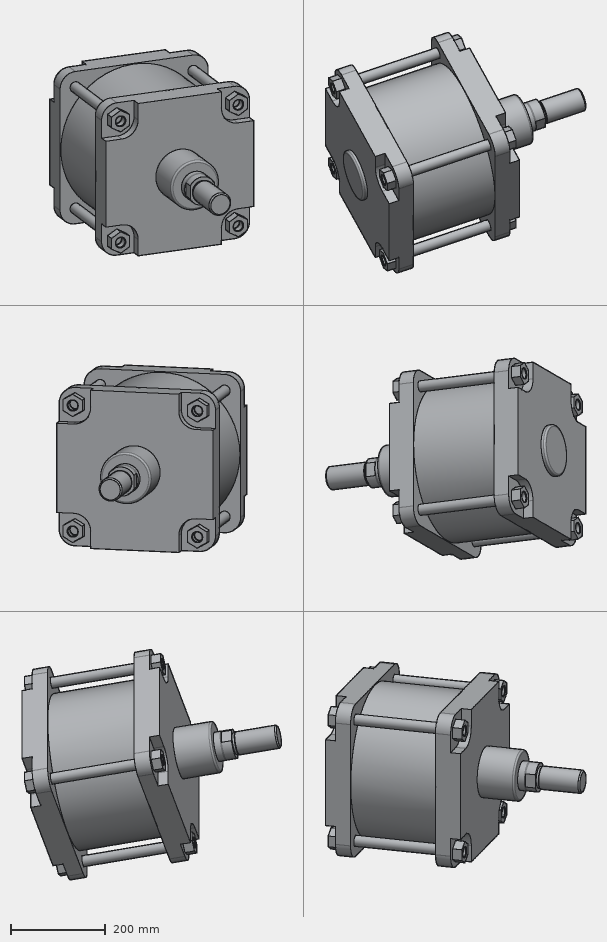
import cadquery as cq
import math


CAP_SIDE = 340.0
CAP_LENGTH = 56.0
CORNER_RADIUS = 34.5
RECESS_SIDE = 74.0
RECESS_DEPTH = 22.0
RECESS_RADIUS = 37.5
BOSS_DIAMETER = 110.0
REAR_BOSS_LENGTH = 10.0
FRONT_BOSS_LENGTH = 82.0
BOSS_ROUNDING = 4.0

BARREL_DIAMETER = 336.5
BARREL_LENGTH = 188.0

TIE_ROD_DIAMETER = 23.5
TIE_ROD_OFFSET = CAP_SIDE / 2 - CORNER_RADIUS
NUT_ACROSS_FLATS = 41.5
NUT_THICKNESS = 20.5
NUT_BORE_DIAMETER = 21.0
NUT_BORE_CHAMFER = 1.5

OVERALL_LENGTH = 526.0
ROD_DIAMETER = 63.0
ROD_LENGTH = 14.5
WRENCH_DIAMETER = 62.5
WRENCH_LENGTH = 23.5
WRENCH_TAPER_LENGTH = 1.5
WRENCH_ACROSS_FLATS = 55.0
NECK_DIAMETER = 46.5
NECK_LENGTH = 4.5
THREAD_DIAMETER = 50.0
THREAD_ROOT_CHAMFER = 1.5
THREAD_TIP_CHAMFER = 3.0

REAR_CAP_X = REAR_BOSS_LENGTH
BARREL_X = REAR_CAP_X + CAP_LENGTH
FRONT_CAP_X = BARREL_X + BARREL_LENGTH
FRONT_CAP_END_X = FRONT_CAP_X + CAP_LENGTH
ROD_X = FRONT_CAP_END_X + FRONT_BOSS_LENGTH
BODY_MIDDLE_X = BARREL_X + BARREL_LENGTH / 2

TIE_ROD_POINTS = [
    (y_side * TIE_ROD_OFFSET, z_side * TIE_ROD_OFFSET)
    for y_side in (-1, 1)
    for z_side in (-1, 1)
]


def cylinder(start_x, length, diameter):
    """Cylinder on the X axis."""
    return cq.Workplane("YZ", origin=(start_x, 0, 0)).circle(diameter / 2).extrude(length)


def make_cap(boss_length):
    """End cap with its inner face at X = 0 and its boss pointing to +X."""
    cap = (
        cq.Workplane("YZ")
        .rect(CAP_SIDE, CAP_SIDE)
        .extrude(CAP_LENGTH)
    )
    cap = cap.edges("|X").fillet(CORNER_RADIUS)

    pockets = (
        cq.Workplane("YZ", origin=(CAP_LENGTH - RECESS_DEPTH, 0, 0))
        .rect(CAP_SIDE, CAP_SIDE, forConstruction=True)
        .vertices()
        .rect(2 * RECESS_SIDE, 2 * RECESS_SIDE)
        .extrude(RECESS_DEPTH)
        .edges("|X")
        .fillet(RECESS_RADIUS)
    )
    cap = cap.cut(pockets)

    boss = cylinder(CAP_LENGTH, boss_length, BOSS_DIAMETER).faces(">X").edges().fillet(BOSS_ROUNDING)
    tie_rod_holes = (
        cq.Workplane("YZ")
        .pushPoints(TIE_ROD_POINTS)
        .circle(TIE_ROD_DIAMETER / 2)
        .extrude(CAP_LENGTH)
    )
    return cap.union(boss).cut(tie_rod_holes)


def make_rear_cap():
    return make_cap(REAR_BOSS_LENGTH).mirror("YZ").translate((BARREL_X, 0, 0))


def make_front_cap():
    return make_cap(FRONT_BOSS_LENGTH).translate((FRONT_CAP_X, 0, 0))


def make_barrel():
    return cylinder(BARREL_X, BARREL_LENGTH, BARREL_DIAMETER)


def make_nut():
    """Hexagonal nut with its seat at X = 0 and a bore narrower than the tie rod."""
    across_corners = NUT_ACROSS_FLATS / math.cos(math.radians(30))
    nut = (
        cq.Workplane("YZ")
        .transformed(rotate=(0, 0, 90))
        .polygon(6, across_corners)
        .extrude(NUT_THICKNESS)
    )
    nut = nut.cut(cylinder(0, NUT_THICKNESS, NUT_BORE_DIAMETER))
    return nut.faces(">X").edges("%CIRCLE").chamfer(NUT_BORE_CHAMFER)


def make_tie_rod(y, z):
    """Rod through both caps, with a nut seated in the recess at each end."""
    seat_distance = BARREL_LENGTH / 2 + CAP_LENGTH - RECESS_DEPTH
    rod = cylinder(-seat_distance, 2 * seat_distance, TIE_ROD_DIAMETER)
    nut = make_nut().translate((seat_distance, 0, 0))
    return rod.union(nut).union(nut.mirror("YZ")).translate((BODY_MIDDLE_X, y, z))


def make_piston_rod():
    """Stepped rod end: plain rod, wrench flats, neck and thread."""
    wrench_x = ROD_X + ROD_LENGTH
    neck_x = wrench_x + WRENCH_LENGTH
    thread_x = neck_x + NECK_LENGTH

    rod = cylinder(ROD_X, ROD_LENGTH, ROD_DIAMETER)

    flats_x = wrench_x + WRENCH_TAPER_LENGTH
    flats = (
        cq.Workplane("YZ", origin=(flats_x, 0, 0))
        .rect(WRENCH_ACROSS_FLATS, WRENCH_DIAMETER)
        .extrude(neck_x - flats_x)
    )
    wrench = cylinder(flats_x, neck_x - flats_x, WRENCH_DIAMETER).intersect(flats)
    taper = (
        cq.Workplane("YZ", origin=(wrench_x, 0, 0))
        .circle(ROD_DIAMETER / 2)
        .workplane(offset=WRENCH_TAPER_LENGTH)
        .circle(WRENCH_DIAMETER / 2)
        .loft()
    )

    neck = cylinder(neck_x, NECK_LENGTH, NECK_DIAMETER)
    thread = (
        cylinder(thread_x, OVERALL_LENGTH - thread_x, THREAD_DIAMETER)
        .faces("<X").edges().chamfer(THREAD_ROOT_CHAMFER)
        .faces(">X").edges().chamfer(THREAD_TIP_CHAMFER)
    )
    return rod.union(taper).union(wrench).union(neck).union(thread)


rear_cap = make_rear_cap()
front_cap = make_front_cap()
barrel = make_barrel()
piston_rod = make_piston_rod()
tie_rods = [make_tie_rod(y, z) for y, z in TIE_ROD_POINTS]

result = cq.Compound.makeCompound([
    rear_cap.val(),
    front_cap.val(),
    barrel.val(),
    piston_rod.val(),
    *[tie_rod.val() for tie_rod in tie_rods],
])